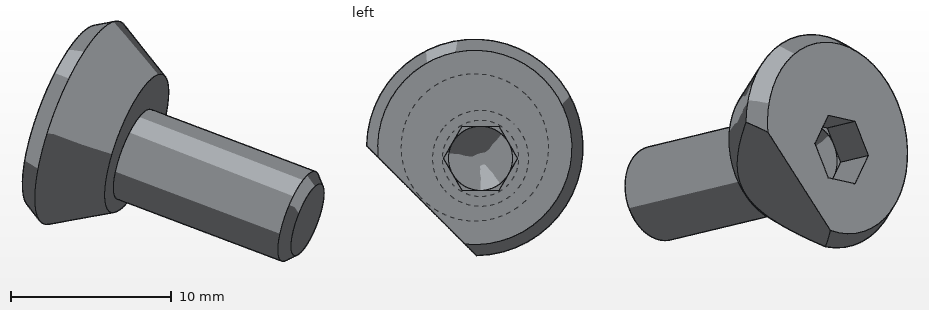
import cadquery as cq
import math

total_length = 17.0

head_length = 5.0
rim_position = 1.2
face_radius = 6.05
rim_radius = 6.75
back_radius = 4.59
head_center_y = 0.35
head_center_z = 0.68

flat_distance = 4.7
flat_angle = 45.0

shank_radius = 3.0
tip_chamfer = 0.61

socket_sides = 6
socket_across_flats = 4.0
socket_depth = 2.5
drill_point_angle = 120.0


def make_head():
    profile = (
        cq.Workplane("XY")
        .polyline([
            (0, 0),
            (0, face_radius),
            (rim_position, rim_radius),
            (head_length, back_radius),
            (head_length, 0),
        ])
        .close()
    )
    head = profile.revolve(360, (0, 0, 0), (1, 0, 0))
    cutter = (
        cq.Workplane("XY")
        .box(head_length, rim_radius, 2 * rim_radius, centered=(False, False, True))
        .translate((0, flat_distance, 0))
        .rotate((0, 0, 0), (1, 0, 0), -flat_angle)
    )
    return head.cut(cutter).translate((0, head_center_y, head_center_z))


def make_shank():
    shank_length = total_length - head_length
    return (
        cq.Workplane("YZ", origin=(head_length, 0, 0))
        .circle(shank_radius)
        .extrude(shank_length)
        .faces(">X")
        .chamfer(tip_chamfer)
    )


def make_socket():
    across_corners = socket_across_flats / math.cos(math.pi / socket_sides)
    hexagon = cq.Workplane("YZ").polygon(socket_sides, across_corners).extrude(socket_depth)
    drill_radius = socket_across_flats / 2
    point_length = drill_radius / math.tan(math.radians(drill_point_angle / 2))
    drill_point = (
        cq.Workplane("XY")
        .polyline([
            (0, 0),
            (0, drill_radius),
            (socket_depth, drill_radius),
            (socket_depth + point_length, 0),
        ])
        .close()
        .revolve(360, (0, 0, 0), (1, 0, 0))
    )
    return hexagon.union(drill_point)


result = make_head().union(make_shank()).cut(make_socket())